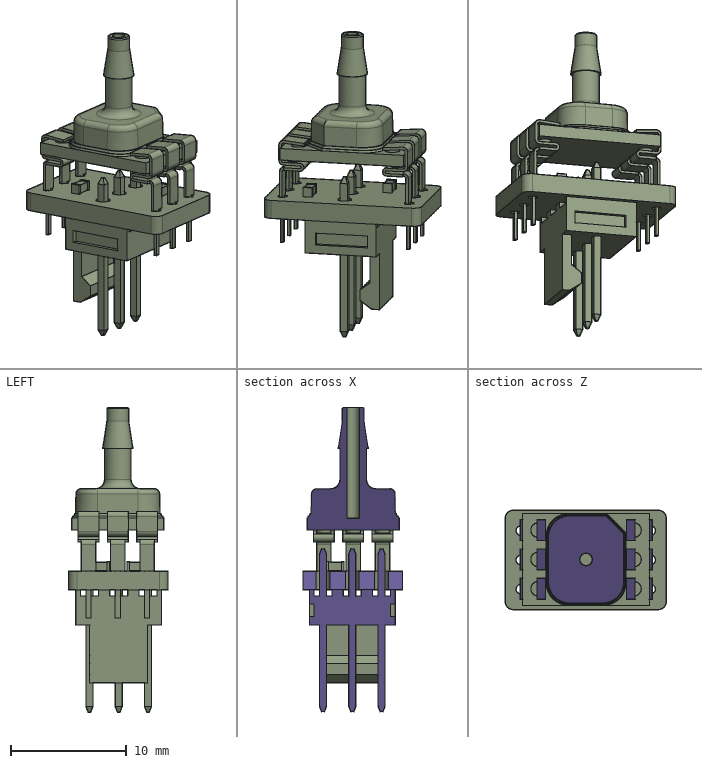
import cadquery as cq
import math

PITCH = 2.53
ROWS = (-PITCH, 0, PITCH)
SIDES = (-1, 1)

BOARD_LENGTH = 13.95
BOARD_WIDTH = 8.63
BOARD_THICKNESS = 1.6
BOARD_CORNER_RADIUS = 0.75
LEAD_HOLE_DIAMETER = 0.8
LEAD_HOLE_X = 5.62
HEADER_HOLE_DIAMETER = 1.2

HEADER_X = 0.13
HEADER_Y = -0.04
PIN_SIDE = 0.63
PIN_TOP = 2.0
PIN_BOTTOM = -12.22
PIN_TIP_SIDE = 0.2
PIN_TIP_LENGTH = 0.53
HOUSING_LEFT = -2.95
HOUSING_LENGTH = 6.33
HOUSING_WIDTH = 7.45
HOUSING_HEIGHT = 3.05
VENT_WIDTH = 1.53
VENT_HEIGHT = 0.53
RECESS_LENGTH = 4.62
RECESS_HEIGHT = 1.05
RECESS_DEPTH = 0.4
RECESS_X = 0.13
RECESS_FLOOR_GAP = 0.77
LATCH_THICKNESS = 0.85
LATCH_WIDTH = 5.01
LATCH_LENGTH = 5.0
HOOK_REACH = 1.75
HOOK_START = 2.65
HOOK_FACE_TOP = 3.33
HOOK_FACE_BOTTOM = 4.25
HOOK_TOE = 0.69

SENSOR_X = 0.03
SENSOR_Y = 0.04
LEAD_THICKNESS = 0.25
LEAD_OUTER_X = 5.73
LEAD_X = LEAD_OUTER_X - LEAD_THICKNESS / 2
LEAD_WIDTH = 1.82
LEG_WIDTH = 1.27
LEG_FOOT_RADIUS = 0.1
TAIL_WIDTH = 0.45
TAIL_END = -4.06
BEND_RADIUS = 0.32
ARM_BEND_Z = 4.75
ARM_TIP_X = 3.48
ARM_SLOPE = math.radians(5)
LOOP_END_X = 3.85
LOOP_Z = 2.88
LOOP_RADIUS = 0.25

PLATE_LENGTH = 2 * (LEAD_OUTER_X - LEAD_THICKNESS)
PLATE_WIDTH = 7.97
PLATE_TOP = 4.6
PLATE_THICKNESS = 1.03
PLATE_BOTTOM = PLATE_TOP - PLATE_THICKNESS
PAD_DIAMETER = 1.27
PAD_CHAMFER = 0.08
UPPER_PAD_X = 4.15
UPPER_PAD_HEIGHT = 0.26
LOWER_PAD_X = 4.6

COVER_LENGTH = 6.3
COVER_WIDTH = 7.34
COVER_TOP = 7.15
COVER_CORNER_RADIUS = 1.93
COVER_CORNER_CUT = 1.48
COVER_EDGE_RADIUS = 0.5
COVER_DRAFT = 1
LOWER_RIM_GROWTH = 0.3
LOWER_RIM_HEIGHT = 0.18
UPPER_RIM_GROWTH = 0.2
UPPER_RIM_HEIGHT = 0.4
RIM_SLOPE = 20

PORT_RADIUS = 1.15
PORT_ROOT_RADIUS = 0.77
BARB_RADIUS = 1.32
BARB_BOTTOM = 10.64
BARB_TOP = 13.0
TIP_RADIUS = 0.95
TIP_EDGE_CHAMFER = 0.1
PORT_TOP = 14.17
BORE_DIAMETER = 1.05

CHIP_LENGTH = 1.6
CHIP_SIDE = 0.82
CHIP_BAND = 0.25
CHIP_BODY_INSET = 0.04
CHIP_INNER_END_Y = 0.75
CHIP_PLACES = ((-2.9, -1), (3.45, 1))


def make_board():
    """Rounded plate with six lead holes and three header pin holes."""
    board = cq.Workplane("XY").rect(BOARD_LENGTH, BOARD_WIDTH).extrude(-BOARD_THICKNESS)
    board = board.edges("|Z").fillet(BOARD_CORNER_RADIUS)
    lead_points = [(side * LEAD_HOLE_X, row) for side in SIDES for row in ROWS]
    board = board.faces(">Z").workplane(origin=(0, 0, 0))
    board = board.pushPoints(lead_points).hole(LEAD_HOLE_DIAMETER)
    pin_points = [(HEADER_X, HEADER_Y + row) for row in ROWS]
    board = board.faces(">Z").workplane(origin=(0, 0, 0))
    return board.pushPoints(pin_points).hole(HEADER_HOLE_DIAMETER)


def make_header_pin(row):
    """Square pin with a tapered tip at both ends."""
    shaft_top = PIN_TOP - PIN_TIP_LENGTH
    shaft_bottom = PIN_BOTTOM + PIN_TIP_LENGTH
    pin = cq.Workplane("XY", origin=(0, 0, shaft_bottom))
    pin = pin.rect(PIN_SIDE, PIN_SIDE).extrude(shaft_top - shaft_bottom)
    for face, end in ((">Z", PIN_TOP), ("<Z", PIN_BOTTOM)):
        tip = pin.faces(face).wires().toPending().workplane(offset=PIN_TIP_LENGTH)
        pin = pin.union(tip.rect(PIN_TIP_SIDE, PIN_TIP_SIDE).loft(combine=False))
    return pin.translate((HEADER_X, HEADER_Y + row, 0))


def make_housing():
    """Block under the board with a cross vent at each pin and a recess in each end."""
    housing_x = HOUSING_LEFT + HOUSING_LENGTH / 2
    bottom = -BOARD_THICKNESS - HOUSING_HEIGHT
    housing = cq.Workplane("XY", origin=(housing_x, HEADER_Y, bottom))
    housing = housing.rect(HOUSING_LENGTH, HOUSING_WIDTH).extrude(HOUSING_HEIGHT)
    for row in ROWS:
        vent = cq.Workplane("XY").box(HOUSING_LENGTH, VENT_WIDTH, 2 * VENT_HEIGHT)
        housing = housing.cut(vent.translate((housing_x, HEADER_Y + row, -BOARD_THICKNESS)))
    recess_z = bottom + RECESS_FLOOR_GAP + RECESS_HEIGHT / 2
    for side in SIDES:
        recess = cq.Workplane("XY").box(RECESS_LENGTH, 2 * RECESS_DEPTH, RECESS_HEIGHT)
        housing = housing.cut(recess.translate((RECESS_X, HEADER_Y + side * HOUSING_WIDTH / 2, recess_z)))
    return housing


def make_latch():
    """Hooked tongue hanging from the left edge of the housing."""
    outline = [
        (0, 0),
        (LATCH_THICKNESS, 0),
        (LATCH_THICKNESS, -HOOK_START),
        (HOOK_REACH, -HOOK_FACE_TOP),
        (HOOK_REACH, -HOOK_FACE_BOTTOM),
        (HOOK_TOE, -LATCH_LENGTH),
        (0, -LATCH_LENGTH),
    ]
    latch = cq.Workplane("XZ").polyline(outline).close().extrude(LATCH_WIDTH / 2, both=True)
    return latch.translate((HOUSING_LEFT, HEADER_Y, -BOARD_THICKNESS - HOUSING_HEIGHT))


def make_header():
    """Housing, latch and pins as one body."""
    header = make_housing().union(make_latch())
    for row in ROWS:
        header = header.union(make_header_pin(row))
    return header


def sweep_strip(path, width):
    """Sweep the lead cross-section along a path that lies in the XZ plane."""
    start = path.val().startPoint()
    section_plane = cq.Plane(origin=start, xDir=(0, 1, 0), normal=path.val().tangentAt(0))
    return cq.Workplane(section_plane).rect(width, LEAD_THICKNESS).sweep(path)


def make_lead():
    """Lead of the +X side: clip arm over the plate, folded loop below it, then leg and tail."""
    bend_x = LEAD_X - BEND_RADIUS
    upper_strand = LOOP_Z + LOOP_RADIUS
    lower_strand = LOOP_Z - LOOP_RADIUS
    arm_end_x = bend_x - BEND_RADIUS * math.sin(ARM_SLOPE)
    arm_end_z = ARM_BEND_Z + BEND_RADIUS * math.cos(ARM_SLOPE)
    arm_tip_z = arm_end_z - (arm_end_x - ARM_TIP_X) * math.tan(ARM_SLOPE)

    clip_path = (
        cq.Workplane("XZ")
        .moveTo(ARM_TIP_X, arm_tip_z)
        .lineTo(arm_end_x, arm_end_z)
        .tangentArcPoint((LEAD_X, ARM_BEND_Z), relative=False)
        .lineTo(LEAD_X, upper_strand + BEND_RADIUS)
        .tangentArcPoint((bend_x, upper_strand), relative=False)
        .lineTo(LOOP_END_X, upper_strand)
        .tangentArcPoint((LOOP_END_X, lower_strand), relative=False)
        .lineTo(bend_x, lower_strand)
        .wire()
    )
    leg_path = (
        cq.Workplane("XZ")
        .moveTo(bend_x, lower_strand)
        .radiusArc((LEAD_X, lower_strand - BEND_RADIUS), BEND_RADIUS)
        .lineTo(LEAD_X, 0)
        .wire()
    )
    leg = sweep_strip(leg_path, LEG_WIDTH)
    leg = leg.faces("<Z").edges("|X").fillet(LEG_FOOT_RADIUS)
    tail = cq.Workplane("XY").rect(LEAD_THICKNESS, TAIL_WIDTH).extrude(TAIL_END).translate((LEAD_X, 0, 0))
    return sweep_strip(clip_path, LEAD_WIDTH).union(leg).union(tail)


def make_pads():
    """Two round pads of one +X lead: one on top of the plate, one below it."""
    upper = cq.Workplane("XY").circle(PAD_DIAMETER / 2).extrude(UPPER_PAD_HEIGHT)
    upper = upper.translate((UPPER_PAD_X, 0, PLATE_TOP))
    strand_top = LOOP_Z + LOOP_RADIUS + LEAD_THICKNESS / 2
    lower = cq.Workplane("XY").circle(PAD_DIAMETER / 2).extrude(PLATE_BOTTOM - strand_top)
    lower = lower.faces("<Z").chamfer(PAD_CHAMFER)
    return upper.union(lower.translate((LOWER_PAD_X, 0, strand_top)))


def cover_block(growth, height, taper):
    """Tapered block with three round corners and one cut corner, grown on every side at its foot."""
    half_length = COVER_LENGTH / 2 + growth
    half_width = COVER_WIDTH / 2 + growth
    corner_cut = COVER_CORNER_CUT + growth * (2 - math.sqrt(2))
    outline = (
        cq.Sketch()
        .rect(2 * half_length, 2 * half_width)
        .vertices("<X or <Y")
        .fillet(COVER_CORNER_RADIUS)
        .reset()
        .vertices(cq.selectors.NearestToPointSelector((half_length, half_width)))
        .chamfer(corner_cut)
    )
    return cq.Workplane("XY", origin=(0, 0, PLATE_TOP)).placeSketch(outline).extrude(height, taper=taper)


def make_cover():
    """Cover with a rounded top edge and two sloped rims around its foot."""
    cover = cover_block(0, COVER_TOP - PLATE_TOP, COVER_DRAFT)
    cover = cover.faces(">Z").edges().fillet(COVER_EDGE_RADIUS)
    upper_rim = cover_block(UPPER_RIM_GROWTH, UPPER_RIM_HEIGHT, RIM_SLOPE)
    lower_rim = cover_block(LOWER_RIM_GROWTH, LOWER_RIM_HEIGHT, RIM_SLOPE)
    return cover.union(upper_rim).union(lower_rim)


def make_port():
    """Turned tube with a flared root and one barb."""
    profile = (
        cq.Workplane("XZ")
        .moveTo(0, PLATE_TOP)
        .lineTo(PORT_RADIUS, PLATE_TOP)
        .lineTo(PORT_RADIUS + PORT_ROOT_RADIUS, COVER_TOP)
        .radiusArc((PORT_RADIUS, COVER_TOP + PORT_ROOT_RADIUS), PORT_ROOT_RADIUS)
        .lineTo(PORT_RADIUS, BARB_BOTTOM)
        .lineTo(BARB_RADIUS, BARB_BOTTOM)
        .lineTo(TIP_RADIUS, BARB_TOP)
        .lineTo(TIP_RADIUS, PORT_TOP - TIP_EDGE_CHAMFER)
        .lineTo(TIP_RADIUS - TIP_EDGE_CHAMFER, PORT_TOP)
        .lineTo(0, PORT_TOP)
        .close()
    )
    return profile.revolve(360, (0, 0, 0), (0, 1, 0))


def make_sensor():
    """Plate, cover, bored port and both rows of leads as one body."""
    sensor = cq.Workplane("XY", origin=(0, 0, PLATE_BOTTOM))
    sensor = sensor.rect(PLATE_LENGTH, PLATE_WIDTH).extrude(PLATE_THICKNESS)
    sensor = sensor.union(make_cover()).union(make_port())
    bore = cq.Workplane("XY", origin=(0, 0, PLATE_TOP))
    bore = bore.circle(BORE_DIAMETER / 2).extrude(PORT_TOP - PLATE_TOP)
    sensor = sensor.cut(bore)
    lead_and_pads = make_lead().union(make_pads())
    for side_angle in (0, 180):
        for row in ROWS:
            lead = lead_and_pads.rotate((0, 0, 0), (0, 0, 1), side_angle)
            sensor = sensor.union(lead.translate((0, row, 0)))
    return sensor.translate((SENSOR_X, SENSOR_Y, 0))


def make_chip(x, side):
    """Chip lying along Y: a slimmer body between two end caps."""
    body_side = CHIP_SIDE - 2 * CHIP_BODY_INSET
    chip = cq.Workplane("XY").box(body_side, CHIP_LENGTH, body_side)
    for end in SIDES:
        cap = cq.Workplane("XY").box(CHIP_SIDE, CHIP_BAND, CHIP_SIDE)
        chip = chip.union(cap.translate((0, end * (CHIP_LENGTH - CHIP_BAND) / 2, 0)))
    return chip.translate((x, side * (CHIP_INNER_END_Y + CHIP_LENGTH / 2), CHIP_SIDE / 2))


board = make_board()
header = make_header()
sensor = make_sensor()
chips = [make_chip(x, side) for x, side in CHIP_PLACES]

result = cq.Compound.makeCompound([
    board.val(),
    header.val(),
    sensor.val(),
    *[chip.val() for chip in chips],
])